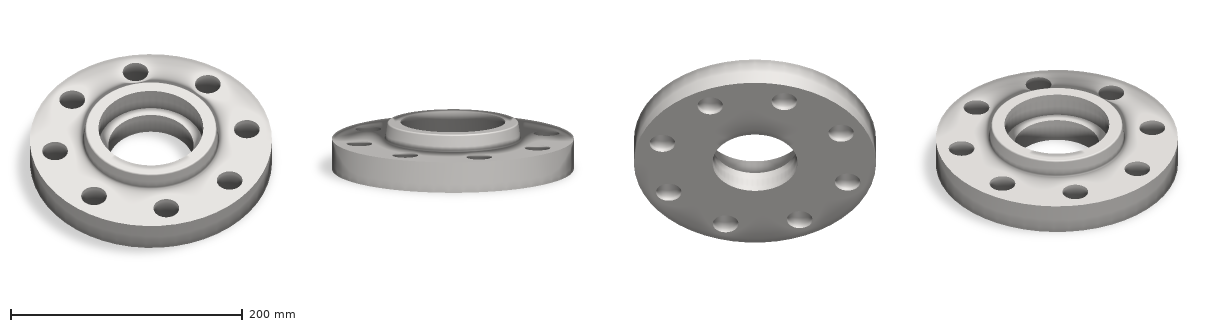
import cadquery as cq

flange_diameter = 209.5
flange_thickness = 26.8
overall_height = 41.5

hub_base_diameter = 117.3
hub_top_diameter = 113.1
hub_root_fillet = 1.5
hub_top_fillet = 1.5

bore_diameter = 73.7
socket_diameter = 90.7
socket_depth = 21.0

bolt_count = 8
bolt_circle_diameter = 168.0
bolt_hole_diameter = 22.2


def make_disc():
    """Plain round disc resting on Z = 0."""
    return cq.Workplane("XY").circle(flange_diameter / 2).extrude(flange_thickness)


def make_hub():
    """Cone frustum on top of the disc with a rounded upper rim."""
    hub = (
        cq.Workplane("XY", origin=(0, 0, flange_thickness))
        .circle(hub_base_diameter / 2)
        .workplane(offset=overall_height - flange_thickness)
        .circle(hub_top_diameter / 2)
        .loft(ruled=True)
    )
    return hub.faces(">Z").edges().fillet(hub_top_fillet)


def round_hub_root(body):
    """Blend the foot of the hub into the upper face of the disc."""
    disc_top_center = (0, 0, flange_thickness)
    disc_top = body.faces(cq.selectors.NearestToPointSelector(disc_top_center))
    root_edge = disc_top.edges(cq.selectors.RadiusNthSelector(0))
    return root_edge.fillet(hub_root_fillet)


def cut_stepped_bore(body):
    """Open the through bore and widen its upper end into the pipe socket."""
    socket_floor = overall_height - socket_depth
    bore = cq.Workplane("XY").circle(bore_diameter / 2).extrude(overall_height)
    socket = (
        cq.Workplane("XY", origin=(0, 0, socket_floor))
        .circle(socket_diameter / 2)
        .extrude(socket_depth)
    )
    return body.cut(bore).cut(socket)


def cut_bolt_holes(body):
    """Drill the ring of evenly spaced holes through the disc."""
    holes = (
        cq.Workplane("XY")
        .polarArray(bolt_circle_diameter / 2, 0, 360, bolt_count)
        .circle(bolt_hole_diameter / 2)
        .extrude(flange_thickness)
    )
    return body.cut(holes)


flange = round_hub_root(make_disc().union(make_hub()))
flange = cut_stepped_bore(flange)
result = cut_bolt_holes(flange)